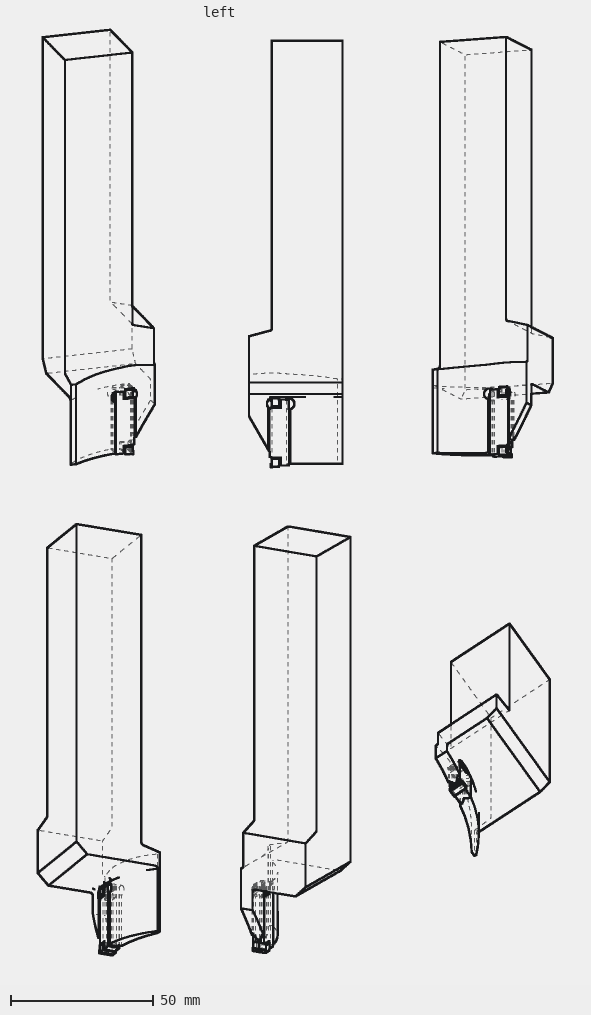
import cadquery as cq
import math

overall_x = 32.09
overall_z = 149.96
shank_size = 25.0
head_depth = 33.0
cut_margin = 5.0

underside_z = 25.85
corner_chamfer = 4.1
shoulder_angle = math.radians(15)
side_shoulder_z = 33.05
back_shoulder_z = 48.3
side_shoulder_fillet = 1.1
back_shoulder_fillet = 0.6

blade_bottom_z = 1.3
blade_mid_y = 25.0
outer_face_x = 25.2
outer_radius = 42.5
inner_face_x = 20.25
inner_radius = 33.8
blade_root_fillet = 1.0
back_slant_z = 18.1
back_slant_angle = math.radians(30)

insert_front_y = 18.9
insert_back_y = 25.7
insert_x_min = 20.7
insert_x_max = 25.15
land_z = 0.7
insert_mid_z = 12.3
neck_z = 3.8
neck_y = 25.0
neck_slant = 0.3
tip_x_min = 20.2
tip_x_max = 25.4
tip_front_y = 22.4
tip_root_y = 21.7
tip_base_z = 3.0
tip_root_z = 3.6
lip_y = 25.35
lip_z = 1.2
lip_flat_z = 0.3
tip_corner_radius = 0.4

seat_gap = 0.5
ridge_depth = 1.3
relief_radius = 1.9
relief_z = 22.4
relief_inset = 1.0
lip_clearance = 0.1

seat_front_y = insert_front_y - seat_gap
seat_back_y = insert_back_y + seat_gap
seat_top_z = 2 * insert_mid_z - land_z
ridge_x_min = insert_x_min + seat_gap
ridge_x_max = insert_x_max - seat_gap
ridge_mid_x = (ridge_x_min + ridge_x_max) / 2


def arc_x(face_x, radius, y):
    """X of a blade face at the given y; its arc centre lies toward +X."""
    return face_x + radius - math.sqrt(radius**2 - (y - blade_mid_y) ** 2)


def arc_y(face_x, radius, x):
    """Y, below blade_mid_y, where a blade face reaches the given x."""
    return blade_mid_y - math.sqrt(radius**2 - (face_x + radius - x) ** 2)


def prism_along_x(points, x_min, x_max):
    """Prism of a (y, z) outline between two X planes."""
    return cq.Workplane("YZ", origin=(x_min, 0, 0)).polyline(points).close().extrude(x_max - x_min)


def prism_along_z(points, z_min, z_max):
    """Prism of an (x, y) outline between two Z planes."""
    return cq.Workplane("XY", origin=(0, 0, z_min)).polyline(points).close().extrude(z_max - z_min)


def outer_face(sketch):
    """Draw the +X boundary: a short flat, then the hollow arc to the back."""
    return (
        sketch.lineTo(overall_x, 0)
        .lineTo(overall_x, arc_y(outer_face_x, outer_radius, overall_x))
        .threePointArc(
            (outer_face_x, blade_mid_y),
            (arc_x(outer_face_x, outer_radius, head_depth), head_depth),
        )
    )


def make_side_outline():
    """Holder outline across X, as a prism through the full Y depth."""
    shoulder_drop = (overall_x - shank_size) * math.tan(shoulder_angle)
    outline = (
        cq.Workplane("XZ")
        .moveTo(0, overall_z)
        .lineTo(shank_size, overall_z)
        .lineTo(shank_size, side_shoulder_z)
        .lineTo(overall_x, side_shoulder_z - shoulder_drop)
        .lineTo(overall_x, blade_bottom_z)
        .lineTo(corner_chamfer, blade_bottom_z)
        .lineTo(corner_chamfer, underside_z)
        .lineTo(0, underside_z + corner_chamfer)
        .close()
        .extrude(-head_depth)
    )
    return outline.edges(
        cq.selectors.NearestToPointSelector((shank_size, head_depth / 2, side_shoulder_z))
    ).fillet(side_shoulder_fillet)


def make_back_outline():
    """Holder outline across Y, as a prism through the full X width."""
    back_shoulder_drop = (head_depth - shank_size) * math.tan(shoulder_angle)
    slant_width = (back_slant_z - blade_bottom_z) * math.tan(back_slant_angle)
    outline = prism_along_x(
        [
            (0, overall_z),
            (shank_size, overall_z),
            (shank_size, back_shoulder_z),
            (head_depth, back_shoulder_z - back_shoulder_drop),
            (head_depth, back_slant_z),
            (head_depth - slant_width, blade_bottom_z),
            (0, blade_bottom_z),
        ],
        0,
        overall_x,
    )
    return outline.edges(
        cq.selectors.NearestToPointSelector((overall_x / 2, shank_size, back_shoulder_z))
    ).fillet(back_shoulder_fillet)


def make_holder_blank():
    """Shank, head and blade in one piece, before the insert seat is cut."""
    upper = (
        outer_face(cq.Workplane("XY", origin=(0, 0, underside_z)).moveTo(0, 0))
        .lineTo(0, head_depth)
        .close()
        .extrude(overall_z - underside_z)
    )
    inner_front_x = arc_x(inner_face_x, inner_radius, 0)
    inner_back_x = arc_x(inner_face_x, inner_radius, head_depth)
    blade = (
        outer_face(cq.Workplane("XY", origin=(0, 0, blade_bottom_z)).moveTo(inner_front_x, 0))
        .lineTo(inner_back_x, head_depth)
        .threePointArc((inner_face_x, blade_mid_y), (inner_front_x, 0))
        .close()
        .extrude(underside_z - blade_bottom_z)
    )
    blank = upper.union(blade)
    root_edge = cq.selectors.NearestToPointSelector((inner_face_x, blade_mid_y, underside_z))
    blank = blank.edges(root_edge).fillet(blade_root_fillet)
    return blank.intersect(make_side_outline()).intersect(make_back_outline())


def make_ridges(z_min, z_max):
    """The two V ridges of the seat, pointing at each other along Y."""
    ridges = cq.Workplane()
    for wall_y, direction in ((seat_front_y, 1), (seat_back_y, -1)):
        ridges = ridges.add(
            prism_along_z(
                [
                    (ridge_x_min, wall_y),
                    (ridge_x_max, wall_y),
                    (ridge_mid_x, wall_y + direction * ridge_depth),
                ],
                z_min,
                z_max,
            )
        )
    return ridges.combine()


def make_seat_cutter():
    """Slot open at the bottom, with ridges left standing on both walls."""
    x_min = inner_face_x - cut_margin
    x_max = overall_x + cut_margin
    slot = cq.Workplane("XY").box(
        x_max - x_min, seat_back_y - seat_front_y, seat_top_z, centered=False
    ).translate((x_min, seat_front_y, 0))
    slot = slot.cut(make_ridges(0, seat_top_z))
    relief = (
        cq.Workplane("YZ", origin=(x_min, 0, 0))
        .pushPoints([(insert_front_y, relief_z), (insert_back_y - relief_inset, relief_z)])
        .circle(relief_radius)
        .extrude(x_max - x_min)
    )
    lip_top_z = 2 * insert_mid_z + lip_clearance
    lip_pocket = prism_along_x(
        [
            (tip_front_y - lip_clearance, seat_top_z),
            (lip_y + lip_clearance, seat_top_z),
            (lip_y + lip_clearance, lip_top_z),
            (tip_front_y - lip_clearance, lip_top_z),
        ],
        x_min,
        x_max,
    )
    return slot.union(relief).union(lip_pocket)


def make_tip():
    """Widened cutting tip at the lower end of the insert, tapered into the body."""
    side = prism_along_x(
        [
            (tip_root_y, tip_root_z),
            (neck_y, tip_root_z),
            (neck_y, lip_z),
            (lip_y, lip_z),
            (lip_y, lip_flat_z),
            (neck_y, 0),
            (neck_y - neck_slant, lip_flat_z),
            (tip_front_y, lip_flat_z),
            (tip_front_y, land_z),
            (tip_root_y, land_z),
        ],
        tip_x_min,
        tip_x_max,
    )
    depth_taper = prism_along_z(
        [
            (insert_x_min, tip_root_y),
            (insert_x_max, tip_root_y),
            (tip_x_max, tip_front_y),
            (tip_x_max, lip_y),
            (tip_x_min, lip_y),
            (tip_x_min, tip_front_y),
        ],
        0,
        tip_root_z,
    )
    width_taper = (
        cq.Workplane("XZ", origin=(0, lip_y, 0))
        .polyline(
            [
                (tip_x_min, 0),
                (tip_x_max, 0),
                (tip_x_max, tip_base_z),
                (insert_x_max, tip_root_z),
                (insert_x_min, tip_root_z),
                (tip_x_min, tip_base_z),
            ]
        )
        .close()
        .extrude(lip_y - tip_root_y)
        .faces("<Z")
        .edges("|Y")
        .fillet(tip_corner_radius)
    )
    return side.intersect(depth_taper).intersect(width_taper)


def make_insert():
    """Double-ended grooving insert with a V groove along each long edge."""
    mirror_z = 2 * insert_mid_z
    body = prism_along_x(
        [
            (insert_front_y, land_z),
            (neck_y, land_z),
            (neck_y, neck_z - neck_slant),
            (insert_back_y, neck_z),
            (insert_back_y, mirror_z - neck_z),
            (neck_y, mirror_z - neck_z + neck_slant),
            (neck_y, mirror_z - land_z),
            (insert_front_y, mirror_z - land_z),
        ],
        insert_x_min,
        insert_x_max,
    )
    tip = make_tip()
    upper_tip = tip.mirror("XY", (0, 0, insert_mid_z))
    return body.union(tip).union(upper_tip).cut(make_ridges(0, mirror_z))


holder = make_holder_blank().cut(make_seat_cutter())
insert = make_insert()

result = cq.Compound.makeCompound([holder.val(), insert.val()])